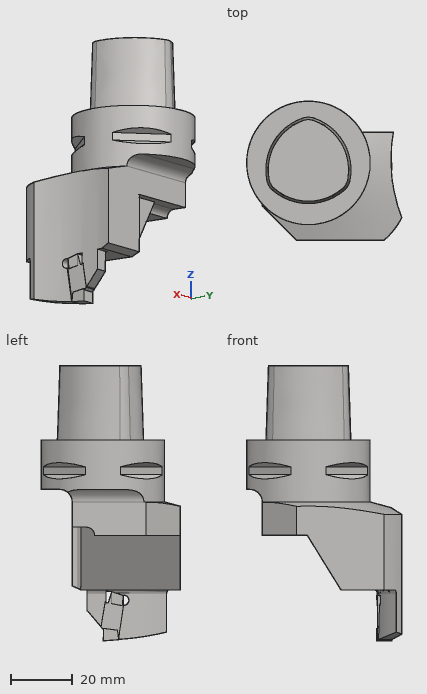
import cadquery as cq
import math

OVERALL_WIDTH = 50.2
OVERALL_DEPTH = 45.0
OVERALL_HEIGHT = 89.0
CUT_MARGIN = 4.45

TAPER_HEIGHT = 24.0
TAPER_DRAFT = 0.8
LOBE_REACH = 14.8
LOBE_RADIUS = 5.8
SIDE_REACH = 13.2

FLANGE_RADIUS = 40.0 / 2
FLANGE_RIM = 16.0
RELIEF_RADIUS = 4.0
FLANGE_HEIGHT = FLANGE_RIM + RELIEF_RADIUS

NOTCH_COUNT = 4
NOTCH_START_ANGLE = 45.0
NOTCH_Z = -10.0
NOTCH_FLOOR_DISTANCE = 17.5
NOTCH_FLOOR_HEIGHT = 2.5
NOTCH_MOUTH_HEIGHT = 5.25

HEAD_LEFT = -14.95
HEAD_BACK = 10.0
HEAD_FRONT = FLANGE_RADIUS - OVERALL_DEPTH
HEAD_RIGHT = OVERALL_WIDTH - FLANGE_RADIUS
HEAD_CHAMFER = 11.1
FRONT_WALL_END_X = 24.4
CORNER_Y = -17.7
CORNER_BULGE = 0.45
SHOULDER_ANGLE = 15.0
PLATE_BOTTOM = -30.9
HEAD_BOTTOM = -48.5
SLOPE_TOP_X = -0.4
SLOPE_BOTTOM_X = 10.5

HOLLOW_X = 26.7
HOLLOW_Y = 0.9
HOLLOW_DEPTH = HEAD_RIGHT - HOLLOW_X
HOLLOW_RADIUS = ((CORNER_Y - HOLLOW_Y) ** 2 + HOLLOW_DEPTH ** 2) / (2 * HOLLOW_DEPTH)

RELIEF_START_Y = 2.7
RELIEF_CEILING = -28.2
STEP_Y = 7.0
STEP_RADIUS = 1.1
STEP_BEVEL_RISE = 1.3

BLADE_INNER_X = 22.25
BLADE_INNER_RADIUS = 40.8
BLADE_BACK = 5.2
BLADE_FRONT = -20.6
BLADE_FRONT_BOTTOM = -62.1
BLADE_MID_BOTTOM = (-14.15, -63.5)
BLADE_FLUSH_BOTTOM = (-4.9, -64.5)
BLADE_BACK_CORNER_Z = -55.1
BLADE_NOSE = (0.8, -60.2)
BLADE_ROOT_RADIUS = 1.0

INSERT_LEFT = 22.1
INSERT_WIDTH = 5.0
TIP_Z = TAPER_HEIGHT - OVERALL_HEIGHT
BODY_RECESS = 0.3
LOWER_HEAD = [(-0.1, TIP_Z), (-0.2, -60.9), (-4.7, -61.5), (-5.1, -64.6)]
UPPER_HEAD = [(-6.6, -50.3), (-6.2, -53.6), (-1.7, -52.7), (-2.85, -49.05)]
INSERT_OUTLINE = [
    LOWER_HEAD[0],
    (-0.2, -61.3),
    (0.6, -60.5),
    (-0.7, -52.5),
    UPPER_HEAD[2],
    UPPER_HEAD[3],
    UPPER_HEAD[0],
    (-6.7, -53.4),
    (-5.4, -61.8),
    LOWER_HEAD[3],
]

JAW_SLIT = [(-1.1, -49.0), (-1.1, -52.2), (-0.7, -52.5), UPPER_HEAD[2], UPPER_HEAD[3]]
SEAT_RELIEF_CENTER = (-6.8, -51.8)
SEAT_RELIEF_RADIUS = 1.6


def polygon_wire(inset, height):
    """Three lobes joined by three large tangent arcs, moved inward by inset."""
    lobe_center = LOBE_REACH - LOBE_RADIUS
    lobe_side_gap = SIDE_REACH - LOBE_RADIUS
    side_center = (lobe_center ** 2 - lobe_side_gap ** 2) / (2 * lobe_side_gap - lobe_center)
    side_radius = side_center + SIDE_REACH - inset
    lobe_radius = LOBE_RADIUS - inset

    def on_axis(distance, angle):
        return cq.Vector(distance * math.cos(angle), distance * math.sin(angle), height)

    def tangent_point(lobe_middle, side_angle):
        return lobe_middle + (lobe_middle - on_axis(side_center, side_angle)).normalized() * lobe_radius

    third = math.radians(120)
    arcs = []
    for i in range(3):
        angle = math.radians(90) + third * i
        lobe_middle = on_axis(lobe_center, angle)
        next_lobe_middle = on_axis(lobe_center, angle + third)
        lobe_tip = on_axis(lobe_center + lobe_radius, angle)
        side_middle = on_axis(side_radius - side_center, angle + third / 2)
        lobe_start = tangent_point(lobe_middle, angle + third)
        lobe_end = tangent_point(lobe_middle, angle - third)
        next_lobe_start = tangent_point(next_lobe_middle, angle - third)
        arcs.append(cq.Edge.makeThreePointArc(lobe_start, lobe_tip, lobe_end))
        arcs.append(cq.Edge.makeThreePointArc(lobe_end, side_middle, next_lobe_start))
    return cq.Wire.assembleEdges(arcs)


def make_taper():
    base = polygon_wire(0, 0)
    tip = polygon_wire(TAPER_DRAFT, TAPER_HEIGHT)
    return cq.Workplane(cq.Solid.makeLoft([base, tip], True))


def upright_cylinder(x, y, radius):
    """Vertical cylinder spanning the whole height below the flange face."""
    return cq.Workplane("XY").center(x, y).circle(radius).extrude(-OVERALL_HEIGHT)


def side_prism(points, left, width):
    """Extrude a (Y, Z) outline along X."""
    return cq.Workplane("YZ", origin=(left, 0, 0)).polyline(points).close().extrude(width)


def gripper_notch(angle):
    flare = (NOTCH_MOUTH_HEIGHT - NOTCH_FLOOR_HEIGHT) / 2
    slope = flare / (FLANGE_RADIUS - NOTCH_FLOOR_DISTANCE)
    half_floor = NOTCH_FLOOR_HEIGHT / 2
    half_mouth = half_floor + slope * CUT_MARGIN
    mouth = NOTCH_FLOOR_DISTANCE + CUT_MARGIN
    return (
        cq.Workplane("XZ")
        .polyline([
            (NOTCH_FLOOR_DISTANCE, NOTCH_Z - half_floor),
            (mouth, NOTCH_Z - half_mouth),
            (mouth, NOTCH_Z + half_mouth),
            (NOTCH_FLOOR_DISTANCE, NOTCH_Z + half_floor),
        ])
        .close()
        .extrude(FLANGE_RADIUS, both=True)
        .rotate((0, 0, 0), (0, 0, 1), angle)
    )


def rim_undercut(plane, wall, direction):
    """Removes the neck outside a head wall, leaving a concave quarter-round under the rim."""
    outer = wall + direction * 2 * FLANGE_RADIUS
    return (
        cq.Workplane(plane)
        .moveTo(wall, -FLANGE_HEIGHT)
        .radiusArc((wall + direction * RELIEF_RADIUS, -FLANGE_RIM), direction * RELIEF_RADIUS)
        .lineTo(outer, -FLANGE_RIM)
        .lineTo(outer, -FLANGE_HEIGHT)
        .close()
        .extrude(2 * FLANGE_RADIUS, both=True)
    )


def make_flange():
    flange = cq.Workplane("XY").circle(FLANGE_RADIUS).extrude(-FLANGE_HEIGHT)
    flange = flange.cut(rim_undercut("XZ", HEAD_LEFT, -1))
    flange = flange.cut(rim_undercut("YZ", HEAD_BACK, 1))
    for i in range(NOTCH_COUNT):
        flange = flange.cut(gripper_notch(NOTCH_START_ANGLE + 360 / NOTCH_COUNT * i))
    return flange


def head_footprint():
    """Plan outline of the head as a vertical prism."""
    back_end_x = HOLLOW_X + HOLLOW_RADIUS - math.sqrt(HOLLOW_RADIUS ** 2 - (HEAD_BACK - HOLLOW_Y) ** 2)
    corner_run = HEAD_RIGHT - FRONT_WALL_END_X
    corner_rise = CORNER_Y - HEAD_FRONT
    corner_length = math.hypot(corner_run, corner_rise)
    bulge_point = (
        (HEAD_RIGHT + FRONT_WALL_END_X) / 2 + CORNER_BULGE * corner_rise / corner_length,
        (CORNER_Y + HEAD_FRONT) / 2 - CORNER_BULGE * corner_run / corner_length,
    )
    return (
        cq.Workplane("XY")
        .moveTo(HEAD_LEFT, HEAD_BACK)
        .lineTo(back_end_x, HEAD_BACK)
        .threePointArc((HOLLOW_X, HOLLOW_Y), (HEAD_RIGHT, CORNER_Y))
        .threePointArc(bulge_point, (FRONT_WALL_END_X, HEAD_FRONT))
        .lineTo(HEAD_LEFT + HEAD_CHAMFER, HEAD_FRONT)
        .lineTo(HEAD_LEFT, HEAD_FRONT + HEAD_CHAMFER)
        .close()
        .extrude(-OVERALL_HEIGHT)
    )


def shoulder_envelope():
    """Solid of revolution between the conical shoulder and the flat head bottom."""
    reach = 2 * FLANGE_RADIUS
    fall = (reach - FLANGE_RADIUS) * math.tan(math.radians(SHOULDER_ANGLE))
    return (
        cq.Workplane("XZ")
        .polyline([
            (0, -FLANGE_HEIGHT),
            (FLANGE_RADIUS, -FLANGE_HEIGHT),
            (reach, -FLANGE_HEIGHT - fall),
            (reach, HEAD_BOTTOM),
            (0, HEAD_BOTTOM),
        ])
        .close()
        .revolve(360, (0, 0, 0), (0, 1, 0))
    )


def slope_x(z):
    """X of the inclined underside at height z."""
    run = SLOPE_BOTTOM_X - SLOPE_TOP_X
    return SLOPE_BOTTOM_X + (z - HEAD_BOTTOM) * run / (HEAD_BOTTOM - PLATE_BOTTOM)


def underside_cutter(ceiling):
    """Everything left of the inclined underside and below the ceiling, along all of Y."""
    far_left = HEAD_LEFT - CUT_MARGIN
    return (
        cq.Workplane("XZ")
        .polyline([
            (far_left, ceiling),
            (slope_x(ceiling), ceiling),
            (SLOPE_BOTTOM_X, HEAD_BOTTOM),
            (far_left, HEAD_BOTTOM),
        ])
        .close()
        .extrude(2 * FLANGE_RADIUS, both=True)
    )


def back_relief():
    """Raised ceiling at the back of the underside, ending in a concave quarter-round."""
    radius = RELIEF_CEILING - PLATE_BOTTOM
    far_back = HEAD_BACK + CUT_MARGIN
    band = (
        cq.Workplane("YZ", origin=(HEAD_LEFT - CUT_MARGIN, 0, 0))
        .moveTo(RELIEF_START_Y, PLATE_BOTTOM)
        .radiusArc((RELIEF_START_Y + radius, RELIEF_CEILING), radius)
        .lineTo(far_back, RELIEF_CEILING)
        .lineTo(far_back, HEAD_BOTTOM)
        .lineTo(RELIEF_START_Y, HEAD_BOTTOM)
        .close()
        .extrude(2 * FLANGE_RADIUS)
    )
    return underside_cutter(RELIEF_CEILING).intersect(band)


def back_step():
    """Upright wall behind the slope, blended into it along one vertical edge."""
    far_left = HEAD_LEFT - CUT_MARGIN
    return (
        cq.Workplane("XY", origin=(0, 0, RELIEF_CEILING))
        .moveTo(far_left, STEP_Y)
        .lineTo(SLOPE_BOTTOM_X - STEP_RADIUS, STEP_Y)
        .radiusArc((SLOPE_BOTTOM_X, STEP_Y + STEP_RADIUS), -STEP_RADIUS)
        .lineTo(SLOPE_BOTTOM_X, HEAD_BACK + CUT_MARGIN)
        .lineTo(far_left, HEAD_BACK + CUT_MARGIN)
        .close()
        .extrude(HEAD_BOTTOM - RELIEF_CEILING)
    )


def step_bevel():
    """Bevel under the back wall."""
    return side_prism(
        [(STEP_Y, HEAD_BOTTOM), (HEAD_BACK, HEAD_BOTTOM + STEP_BEVEL_RISE), (HEAD_BACK, HEAD_BOTTOM)],
        HEAD_LEFT,
        HEAD_RIGHT - HEAD_LEFT,
    )


def make_head():
    head = head_footprint().intersect(shoulder_envelope())
    head = head.cut(underside_cutter(PLATE_BOTTOM))
    return head.cut(back_relief()).cut(back_step()).cut(step_bevel())


def blade_side():
    """Side shape of the blade, deep enough along X to cover its curve."""
    return (
        cq.Workplane("YZ")
        .moveTo(BLADE_BACK, HEAD_BOTTOM)
        .lineTo(BLADE_BACK, BLADE_BACK_CORNER_Z)
        .lineTo(*BLADE_NOSE)
        .lineTo(*BLADE_FLUSH_BOTTOM)
        .threePointArc(BLADE_MID_BOTTOM, (BLADE_FRONT, BLADE_FRONT_BOTTOM))
        .lineTo(BLADE_FRONT, HEAD_BOTTOM)
        .close()
        .extrude(HEAD_RIGHT)
    )


def blade_root():
    """Concave fillet along the inner face, where the blade leaves the head."""
    radius = BLADE_ROOT_RADIUS
    axis_x = BLADE_INNER_X + BLADE_INNER_RADIUS
    ring = (
        cq.Workplane("XZ", origin=(axis_x, HOLLOW_Y, 0))
        .moveTo(BLADE_INNER_RADIUS - radius, HEAD_BOTTOM)
        .lineTo(BLADE_INNER_RADIUS + radius, HEAD_BOTTOM)
        .radiusArc((BLADE_INNER_RADIUS, HEAD_BOTTOM - radius), -radius)
        .lineTo(BLADE_INNER_RADIUS - radius, HEAD_BOTTOM - radius)
        .close()
        .revolve(360, (0, 0, 0), (0, 1, 0))
    )
    span = cq.Workplane("XY").box(
        HEAD_RIGHT, BLADE_BACK - BLADE_FRONT + radius, OVERALL_HEIGHT, centered=False
    ).translate((0, BLADE_FRONT - radius, -OVERALL_HEIGHT))
    return ring.intersect(span).intersect(head_footprint())


def make_blade():
    inner = upright_cylinder(BLADE_INNER_X + BLADE_INNER_RADIUS, HOLLOW_Y, BLADE_INNER_RADIUS)
    blade = inner.intersect(head_footprint()).intersect(blade_side())
    return blade.union(blade_root())


def cutting_head(outline):
    """Head at full width on its cutting side, narrowing to the body width behind it."""
    cutting_y = outline[0][0]
    rear_y = outline[-1][0]
    right = INSERT_LEFT + INSERT_WIDTH
    taper = (
        cq.Workplane("XY")
        .polyline([
            (INSERT_LEFT, cutting_y),
            (right, cutting_y),
            (right - BODY_RECESS, rear_y),
            (INSERT_LEFT + BODY_RECESS, rear_y),
        ])
        .close()
        .extrude(-OVERALL_HEIGHT)
    )
    return side_prism(outline, INSERT_LEFT, INSERT_WIDTH).intersect(taper)


def make_insert():
    body = side_prism(INSERT_OUTLINE, INSERT_LEFT + BODY_RECESS, INSERT_WIDTH - 2 * BODY_RECESS)
    return body.union(cutting_head(LOWER_HEAD)).union(cutting_head(UPPER_HEAD))


def seat_clearances():
    slit = side_prism(JAW_SLIT, 0, HEAD_RIGHT)
    relief = (
        cq.Workplane("YZ")
        .center(*SEAT_RELIEF_CENTER)
        .circle(SEAT_RELIEF_RADIUS)
        .extrude(HEAD_RIGHT)
    )
    return slit.union(relief)


def make_seat():
    """Insert outline carried through the whole blade."""
    return side_prism(INSERT_OUTLINE, 0, HEAD_RIGHT)


def make_holder():
    blade = make_blade().cut(seat_clearances()).cut(make_seat())
    return make_taper().union(make_flange()).union(make_head()).union(blade)


holder = make_holder()
insert = make_insert()
result = cq.Compound.makeCompound([*holder.solids().vals(), *insert.solids().vals()])